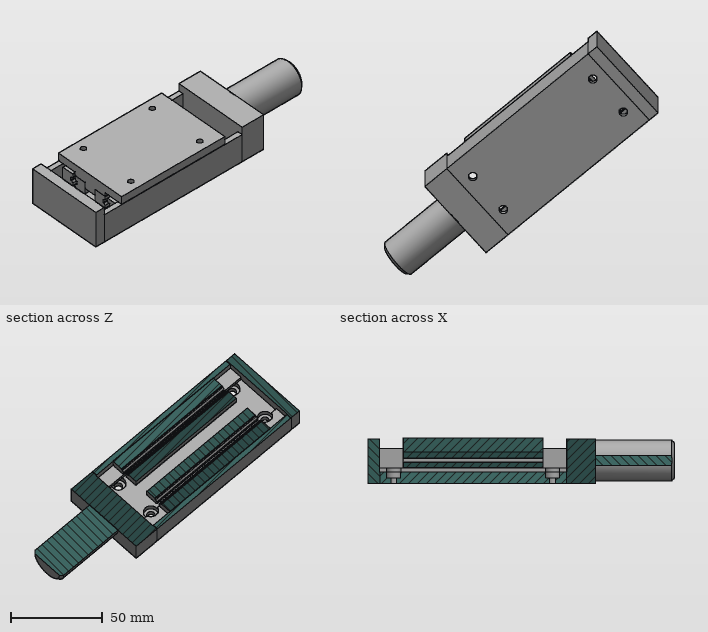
import cadquery as cq

total_length = 166.7
stage_width = 50.8
plate_height = 24.3
end_plate_length = 6.3
base_length = 101.7
motor_block_length = 15.8

base_start = end_plate_length
base_end = base_start + base_length
base_middle = base_start + base_length / 2
motor_block_end = base_end + motor_block_length

base_height = 19.2
channel_width = 44.2
floor_height = 6.3
ledge_spacing = 27.7
rail_bottom = 8.5

mount_spacing_x = 25.3
mount_spacing_y = 86.3
mount_hole_diameter = 4.7
counterbore_diameter = 8.2
counterbore_depth = 3.2

table_length = 76.2
table_top = 24.8
table_underside = 19.5
saddle_width = 24.3
keel_width = 8.3
keel_bottom = 12.8
tapped_spacing_x = 38.2
tapped_spacing_y = 50.8
tapped_hole_diameter = 3.5

rail_top = 17.0
rail_height = rail_top - rail_bottom
rail_bevel = 0.3
groove_width = 4.0
groove_depth = 1.7
relief_width = 2.0
flank_depth = (groove_width - relief_width) / 2
table_start = base_middle - table_length / 2

motor_diameter = 22.5
motor_clearance = 1.3
motor_axis_height = motor_clearance + motor_diameter / 2
motor_chamfer = 1.7


def box_along_y(width, start, length, bottom, top):
    """Block centred on X, reaching from start along +Y."""
    return cq.Workplane("XY").box(width, length, top - bottom, centered=(True, False, False)).translate(
        (0, start, bottom)
    )


def upright_cylinder(x, y, bottom, top, diameter):
    return cq.Workplane("XY", origin=(x, y, bottom)).circle(diameter / 2).extrude(top - bottom)


def mounting_hole(x, y, opening_height):
    """Through hole with a counterbore that is open up to opening_height."""
    hole = upright_cylinder(x, y, 0, floor_height, mount_hole_diameter)
    seat_height = floor_height - counterbore_depth
    return hole.union(upright_cylinder(x, y, seat_height, opening_height, counterbore_diameter))


def make_base():
    """Channel with a rail ledge along each wall and four mounting holes."""
    base = box_along_y(stage_width, base_start, base_length, 0, base_height)
    base = base.cut(box_along_y(channel_width, base_start, base_length, rail_bottom, base_height))
    base = base.cut(box_along_y(ledge_spacing, base_start, base_length, floor_height, rail_bottom))
    for side, opening_height in ((-1, rail_bottom), (1, floor_height)):
        for end in (-1, 1):
            x = side * mount_spacing_x / 2
            y = base_middle + end * mount_spacing_y / 2
            base = base.cut(mounting_hole(x, y, opening_height))
    return base


def make_end_plate():
    return box_along_y(stage_width, 0, end_plate_length, 0, plate_height)


def make_motor_block():
    return box_along_y(stage_width, base_end, motor_block_length, 0, plate_height)


def make_motor():
    """Cylinder on the motor block with a chamfered free end."""
    motor = (
        cq.Workplane("XZ", origin=(0, motor_block_end, motor_axis_height))
        .circle(motor_diameter / 2)
        .extrude(motor_block_end - total_length)
    )
    return motor.faces(">Y").chamfer(motor_chamfer)


def make_table():
    """Top plate stepped down to a saddle over the inner rails and a keel between them."""
    table = box_along_y(stage_width, table_start, table_length, table_underside, table_top)
    table = table.union(box_along_y(saddle_width, table_start, table_length, rail_top, table_underside))
    table = table.union(box_along_y(keel_width, table_start, table_length, keel_bottom, rail_top))
    for side in (-1, 1):
        for end in (-1, 1):
            x = side * tapped_spacing_x / 2
            y = base_middle + end * tapped_spacing_y / 2
            table = table.cut(upright_cylinder(x, y, table_underside, table_top, tapped_hole_diameter))
    return table


def make_rail(back_x, grooved_x):
    """Rail with a flat back at back_x and a relieved V groove in the side at grooved_x."""
    into_rail = 1 if back_x > grooved_x else -1
    bar = box_along_y(abs(back_x - grooved_x), table_start, table_length, rail_bottom, rail_top)
    bar = bar.edges("|Y").chamfer(rail_bevel).translate(((back_x + grooved_x) / 2, 0, 0))

    groove_middle = rail_bottom + rail_height / 2
    flank_end_x = grooved_x + into_rail * flank_depth
    groove_floor_x = grooved_x + into_rail * groove_depth
    groove = (
        cq.Workplane("XZ", origin=(0, table_start, groove_middle))
        .moveTo(grooved_x, -groove_width / 2)
        .lineTo(flank_end_x, -relief_width / 2)
        .lineTo(groove_floor_x, -relief_width / 2)
        .lineTo(groove_floor_x, relief_width / 2)
        .lineTo(flank_end_x, relief_width / 2)
        .lineTo(grooved_x, groove_width / 2)
        .close()
        .extrude(-table_length)
    )
    return bar.cut(groove)


base = make_base()
end_plate = make_end_plate()
motor_block = make_motor_block()
motor = make_motor()
table = make_table()

outer_rails = []
inner_rails = []
for side in (-1, 1):
    outer_rails.append(make_rail(side * channel_width / 2, side * ledge_spacing / 2).val())
    inner_rails.append(make_rail(side * keel_width / 2, side * saddle_width / 2).val())

result = cq.Compound.makeCompound(
    [
        base.val(),
        end_plate.val(),
        motor_block.val(),
        motor.val(),
        table.val(),
        *outer_rails,
        *inner_rails,
    ]
)